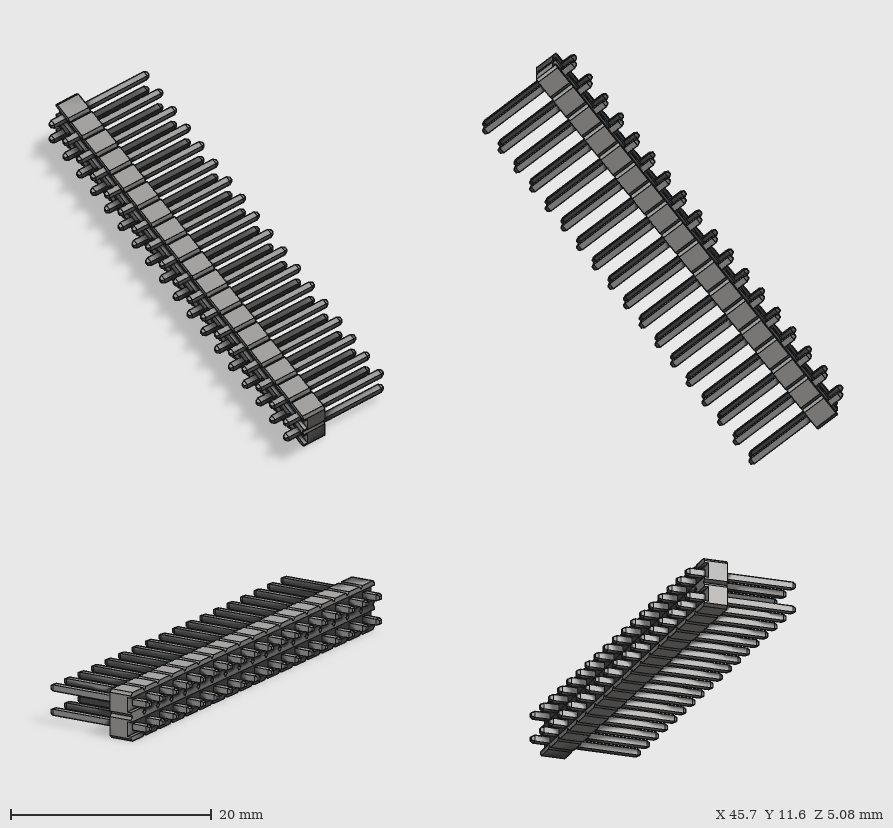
import cadquery as cq

columns = 18
rows = 2
length = 45.7
pitch = length / columns
height = rows * pitch

housing_depth = 2.45
notch = 0.295
diamond_sides = 4
groove_width = 1.5
groove_depth = 0.4

pin_width = 0.65
pin_tip_width = 0.35
pin_taper = 0.3
pin_front = 1.5
pin_back = 7.65
pin_length = pin_front + housing_depth + pin_back

front_y = -housing_depth / 2
pin_start_y = front_y - pin_front
pin_end_y = pin_start_y + pin_length

column_centers = [(i - (columns - 1) / 2) * pitch for i in range(columns)]
row_centers = [(j - (rows - 1) / 2) * pitch for j in range(rows)]
column_borders = [i * pitch - length / 2 for i in range(columns + 1)]
row_borders = [j * pitch - height / 2 for j in range(rows + 1)]


def make_housing():
    """Block with diamond notches at every cell corner and a front groove along each row."""
    block = cq.Workplane("XY").box(length, housing_depth, height)
    diamonds = (
        cq.Workplane("XZ", origin=(0, -front_y, 0))
        .pushPoints([(x, z) for x in column_borders for z in row_borders])
        .polygon(diamond_sides, 2 * notch)
        .extrude(housing_depth)
    )
    grooves = (
        cq.Workplane("XZ", origin=(0, front_y + groove_depth, 0))
        .pushPoints([(0, z) for z in row_centers])
        .rect(length, groove_width)
        .extrude(groove_depth)
    )
    return block.cut(diamonds).cut(grooves)


def make_tip(base_y, tip_y):
    """Pyramid-shaped pin end that narrows from base_y to tip_y."""
    return (
        cq.Workplane("XZ", origin=(0, base_y, 0))
        .rect(pin_width, pin_width)
        .workplane(offset=base_y - tip_y)
        .rect(pin_tip_width, pin_tip_width)
        .loft(ruled=True)
    )


def make_pin():
    """Square pin centred on the Y axis with both ends tapered."""
    shank_start_y = pin_start_y + pin_taper
    shank_end_y = pin_end_y - pin_taper
    shank = (
        cq.Workplane("XZ", origin=(0, shank_end_y, 0))
        .rect(pin_width, pin_width)
        .extrude(shank_end_y - shank_start_y)
    )
    front_tip = make_tip(shank_start_y, pin_start_y)
    back_tip = make_tip(shank_end_y, pin_end_y)
    return shank.union(front_tip).union(back_tip)


pin = make_pin().val()
pins = [pin.translate(cq.Vector(x, 0, z)) for x in column_centers for z in row_centers]
result = cq.Workplane(make_housing().val().fuse(*pins))